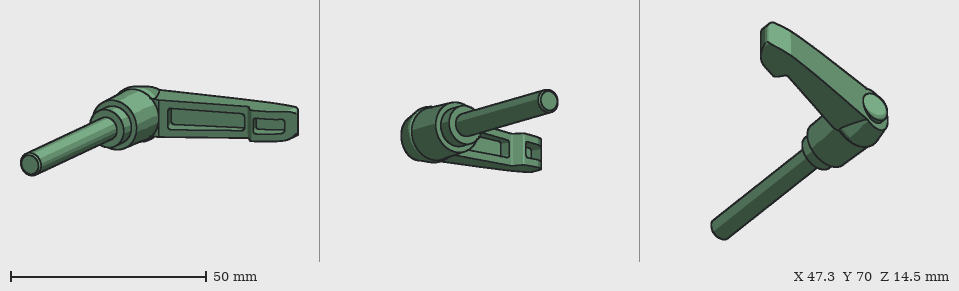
import cadquery as cq
import math


STUD_RADIUS = 3.0
STUD_LENGTH = 40.0
STUD_CHAMFER = 0.5
COLLAR_RADIUS = 5.0
COLLAR_TOP = 4.0
SLEEVE_BOTTOM_RADIUS = 6.53
SLEEVE_TOP_RADIUS = 6.85

HUB_BOTTOM = 15.0
HUB_RADIUS = 7.25
HUB_BOTTOM_FILLET = 0.8
HUB_CONE_START = 16.4
HUB_CONE_ANGLE = 13.5
HUB_BLANK_TOP = 27.0
TOP_SLOPE = 13.0
TOP_AT_AXIS = 22.72

BUTTON_RADIUS = 4.0
BUTTON_SHOULDER = 23.65
BUTTON_TOP = 24.5
BUTTON_FLAT_RADIUS = 2.6

ARM_END = 40.0
ARM_TOP = 30.0
ARM_HEEL_X = 6.8
CROWN_START_X = 20.4
CROWN_SHOULDER_X = 31.0
CROWN_PEAK_X = 36.2
CROWN_RADIUS = 29.0
UNDERSIDE_SLOPE = 20.4
NOTCH_TOP_X = 28.7
NOTCH_TOP_FILLET = 0.65
TOE_X = 30.65
TOE_Y = 20.42
TOE_FILLET = 1.0
TOE_SLOPE = 19.5
NOSE_START_X = 35.0
NOSE_END_Y = 28.4
NOSE_FILLET = 1.2

ARM_HALF_WIDTH_AT_AXIS = 5.17
ARM_TAPER = 1.93
ARM_END_FILLET = 1.6

POCKET_WALL = 2.0
POCKET_CORNER_RADIUS = 0.85
LONG_POCKET_START_X = 9.05
LONG_POCKET_END_X = 27.7
LONG_POCKET_MAX_DEPTH = 8.0
LONG_POCKET_ROOF = 3.6
SHORT_POCKET_START_X = 31.4
SHORT_POCKET_END_X = 38.95
SHORT_POCKET_DEPTH = 4.5


def slope(angle):
    return math.tan(math.radians(angle))


def top_height(x):
    """Height of the sloping top plane at x."""
    return TOP_AT_AXIS + x * slope(TOP_SLOPE)


def underside_height(x):
    """Height of the arm's underside between heel and notch."""
    return HUB_BOTTOM + (x - ARM_HEEL_X) * slope(UNDERSIDE_SLOPE)


def toe_height(x):
    """Height of the underside beyond the notch."""
    return TOE_Y + (x - TOE_X) * slope(TOE_SLOPE)


def crown_height(x):
    """Height of the arc that rounds the arm's top off towards its end."""
    drop = CROWN_RADIUS - math.sqrt(CROWN_RADIUS ** 2 - (x - CROWN_PEAK_X) ** 2)
    return ARM_TOP - drop


def arm_half_width(x):
    return ARM_HALF_WIDTH_AT_AXIS - x * slope(ARM_TAPER)


def revolve_about_y(outline):
    return outline.close().revolve(360, (0, 0, 0), (0, 1, 0))


def make_stud():
    return revolve_about_y(
        cq.Workplane("XY")
        .moveTo(0, -STUD_LENGTH)
        .lineTo(STUD_RADIUS - STUD_CHAMFER, -STUD_LENGTH)
        .lineTo(STUD_RADIUS, STUD_CHAMFER - STUD_LENGTH)
        .lineTo(STUD_RADIUS, 0)
        .lineTo(COLLAR_RADIUS, 0)
        .lineTo(COLLAR_RADIUS, COLLAR_TOP)
        .lineTo(SLEEVE_BOTTOM_RADIUS, COLLAR_TOP)
        .lineTo(SLEEVE_TOP_RADIUS, HUB_BOTTOM)
        .lineTo(0, HUB_BOTTOM)
    )


def make_space_above_top(drop):
    """Block above a plane parallel to the sloping top, lowered by drop along Y."""
    return (
        cq.Workplane("XY")
        .moveTo(-ARM_END, top_height(-ARM_END) - drop)
        .lineTo(ARM_END, top_height(ARM_END) - drop)
        .lineTo(ARM_END, 2 * ARM_TOP)
        .lineTo(-ARM_END, 2 * ARM_TOP)
        .close()
        .extrude(2 * HUB_RADIUS, both=True)
    )


def make_hub():
    blank_top_radius = HUB_RADIUS - (HUB_BLANK_TOP - HUB_CONE_START) * slope(HUB_CONE_ANGLE)
    blank = revolve_about_y(
        cq.Workplane("XY")
        .moveTo(0, HUB_BOTTOM)
        .lineTo(HUB_RADIUS - HUB_BOTTOM_FILLET, HUB_BOTTOM)
        .tangentArcPoint((HUB_RADIUS, HUB_BOTTOM + HUB_BOTTOM_FILLET), relative=False)
        .lineTo(HUB_RADIUS, HUB_CONE_START)
        .lineTo(blank_top_radius, HUB_BLANK_TOP)
        .lineTo(0, HUB_BLANK_TOP)
    )
    return blank.cut(make_space_above_top(0))


def make_arm():
    side = (
        cq.Workplane("XY")
        .moveTo(0, HUB_BOTTOM)
        .lineTo(ARM_HEEL_X, HUB_BOTTOM)
        .lineTo(NOTCH_TOP_X, underside_height(NOTCH_TOP_X))
        .lineTo(TOE_X, TOE_Y)
        .lineTo(NOSE_START_X, toe_height(NOSE_START_X))
        .tangentArcPoint((ARM_END, NOSE_END_Y), relative=False)
        .lineTo(ARM_END, crown_height(ARM_END))
        .threePointArc((CROWN_PEAK_X, ARM_TOP), (CROWN_SHOULDER_X, crown_height(CROWN_SHOULDER_X)))
        .tangentArcPoint((CROWN_START_X, top_height(CROWN_START_X)), relative=False)
        .lineTo(0, top_height(0))
        .close()
        .extrude(2 * ARM_HALF_WIDTH_AT_AXIS, both=True)
    )
    side = fillet_side_corner(side, NOTCH_TOP_X, underside_height(NOTCH_TOP_X), NOTCH_TOP_FILLET)
    side = fillet_side_corner(side, TOE_X, TOE_Y, TOE_FILLET)
    side = fillet_side_corner(side, ARM_END, crown_height(ARM_END), NOSE_FILLET)
    plan = (
        cq.Workplane("XZ")
        .polyline([
            (0, -arm_half_width(0)),
            (ARM_END, -arm_half_width(ARM_END)),
            (ARM_END, arm_half_width(ARM_END)),
            (0, arm_half_width(0)),
        ])
        .close()
        .extrude(-2 * ARM_TOP)
        .edges("|Y and >X")
        .fillet(ARM_END_FILLET)
    )
    return side.intersect(plan)


def fillet_side_corner(body, x, y, radius):
    """Round the edge along Z that stands at (x, y)."""
    return body.edges(cq.selectors.NearestToPointSelector((x, y, 0))).fillet(radius)


def make_pocket(start_x, end_x, start_y, angle, depth):
    """Tapered pocket sunk at right angles into an underside with the given slope angle."""
    start_half = arm_half_width(start_x) - POCKET_WALL
    end_half = arm_half_width(end_x) - POCKET_WALL
    length = (end_x - start_x) / math.cos(math.radians(angle))
    return (
        cq.Workplane("XZ")
        .polyline([(0, -start_half), (length, -end_half), (length, end_half), (0, start_half)])
        .close()
        .extrude(-depth)
        .edges("|Y")
        .fillet(POCKET_CORNER_RADIUS)
        .rotate((0, 0, 0), (0, 0, 1), angle)
        .translate((start_x, start_y, 0))
    )


def make_long_pocket():
    start_y = underside_height(LONG_POCKET_START_X)
    blank = make_pocket(LONG_POCKET_START_X, LONG_POCKET_END_X, start_y,
                        UNDERSIDE_SLOPE, LONG_POCKET_MAX_DEPTH)
    return blank.cut(make_space_above_top(LONG_POCKET_ROOF))


def make_short_pocket():
    start_y = toe_height(SHORT_POCKET_START_X)
    return make_pocket(SHORT_POCKET_START_X, SHORT_POCKET_END_X, start_y,
                       TOE_SLOPE, SHORT_POCKET_DEPTH)


def make_button():
    edge_rise = BUTTON_TOP - BUTTON_SHOULDER
    return revolve_about_y(
        cq.Workplane("XY")
        .moveTo(0, HUB_BOTTOM)
        .lineTo(0, BUTTON_TOP)
        .lineTo(BUTTON_FLAT_RADIUS, BUTTON_TOP)
        .tangentArcPoint((BUTTON_RADIUS - BUTTON_FLAT_RADIUS, -edge_rise))
        .lineTo(BUTTON_RADIUS, HUB_BOTTOM)
    )


arm = make_arm().cut(make_long_pocket()).cut(make_short_pocket())
result = make_stud().union(make_hub()).union(arm).union(make_button())